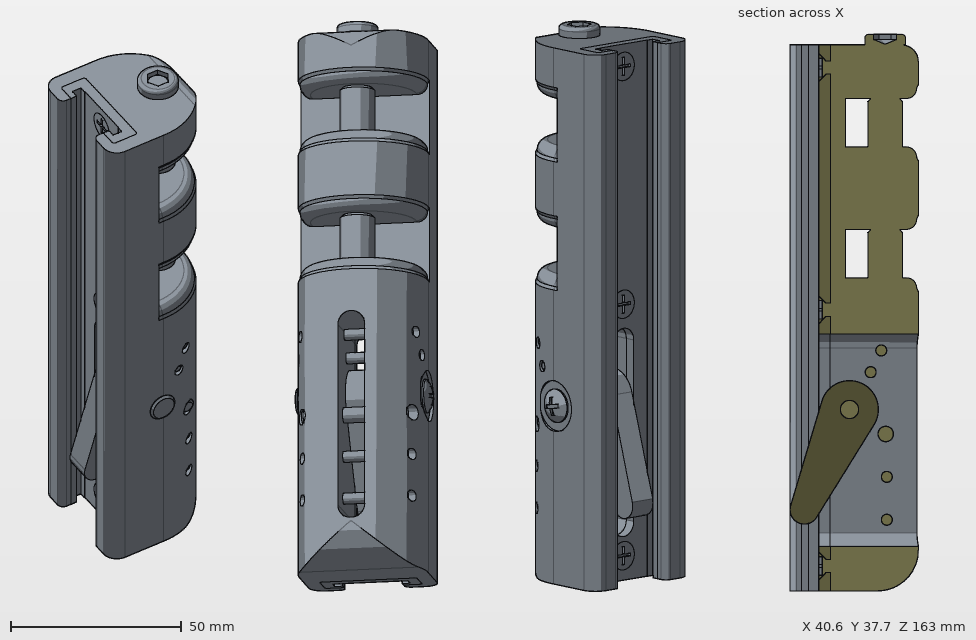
import cadquery as cq
import math

TOTAL_LENGTH = 163.0

HOUSING_LENGTH = 159.9
HOUSING_WIDTH = 38.3
HOUSING_DEPTH = 37.7
DOME_START_Y = 17.8
FRONT_CORNER_RADIUS = 4.5
LIP_CORNER_RADIUS = 2.0
TOP_BACK_RADIUS = 5.0
BOTTOM_BACK_RADIUS = 12.0
HALF_WIDTH = HOUSING_WIDTH / 2

RAIL_WIDTH = 29.0
RAIL_BACK_Y = 11.7
RAIL_FRONT_Y = 3.5
RAIL_WALL = 3.3
RAIL_LIP = 2.0
RAIL_CORNER_RADIUS = 0.8
MOUTH_WIDTH = 17.8
RAIL_FACE_Y = RAIL_BACK_Y - RAIL_WALL
RAIL_RELIEF_WIDTH = 18.6
RAIL_RELIEF_DEPTH = 0.2

NOTCH_FLOOR_Y = 16.3
NOTCH_HEIGHT = 14.0
NOTCH_BOTTOMS = (91.8, 130.0)
NOTCH_EDGE_RADIUS = 3.1
NOTCH_BEVEL_LENGTH = 1.0
NOTCH_BEVEL_STEP = 0.5

SLOT_WIDTH = 8.0
SLOT_BOTTOM = 13.0
SLOT_TOP = 75.1

BOLT_Y = 27.9
BOLT_HEAD_DIAMETER = 12.0
BOLT_HEAD_ROUND = 1.1
BOLT_SHAFT_DIAMETER = 10.3
BOLT_SHAFT_CHAMFER = 0.8
HEX_ACROSS_FLATS = 6.0
HEX_DEPTH = 1.6
HEX_CONE_DEPTH = 1.3

RAIL_SCREW_HEIGHTS = (7.3, 82.3, 153.2)
SCREW_HEAD_DIAMETER = 8.5
SCREW_SHANK_DIAMETER = 4.0
SCREW_HEAD_DEPTH = 2.1
SCREW_CROSS_LENGTH = 5.4
SCREW_CROSS_WIDTH = 0.8
CROSS_DEPTH = 1.0

PIVOT_Y = 17.5
PIVOT_Z = 53.1
PIVOT_SHAFT_DIAMETER = 5.5
SPOTFACE_DIAMETER = 15.0
SPOTFACE_DEPTH = 1.0
PIVOT_HEAD_DIAMETER = 10.0
PIVOT_HEAD_RISE = 1.5
PIVOT_DOME_HEIGHT = 2.0
PIVOT_CROSS_WIDTH = 1.1
PIVOT_CROSS_TURN = -10.0
PIVOT_END_DIAMETER = 8.5
PIVOT_END_RISE = 0.8
PIVOT_END_CHAMFER = 0.7

CROSS_PINS = (
    (26.7, 70.4, 3.3, 0),
    (23.6, 64.0, 3.3, 0),
    (28.0, 46.0, 4.5, 1.5),
    (28.4, 33.4, 3.3, 0),
    (28.4, 20.9, 3.3, 0),
)
PIN_RECESS = 0.2
PIN_CHAMFER = 0.7

LEVER_HUB_RADIUS = 8.5
LEVER_TOE_RADIUS = 4.2
LEVER_TOE_Z = 23.8

PICK_MARGIN = 0.2


def x_cylinder(y, z, diameter, x_start, x_end):
    """Cylinder along X between two X positions."""
    return (
        cq.Workplane("YZ", origin=(x_start, 0, 0))
        .center(y, z)
        .circle(diameter / 2)
        .extrude(x_end - x_start)
    )


def z_cylinder(y, diameter, z_start, z_end):
    """Cylinder along Z on the symmetry plane between two heights."""
    return (
        cq.Workplane("XY", origin=(0, y, z_start))
        .circle(diameter / 2)
        .extrude(z_end - z_start)
    )


def block(width, y_start, y_end, z_start=0, z_end=HOUSING_LENGTH):
    """Block centred in X between two Y and two Z positions."""
    return (
        cq.Workplane("XY")
        .box(width, y_end - y_start, z_end - z_start, centered=(True, False, False))
        .translate((0, y_start, z_start))
    )


def cross(length, width, depth):
    """Cross-shaped cutter centred on the origin, flat in XY."""
    arm = cq.Workplane("XY").box(length, width, depth)
    return arm.union(arm.rotate((0, 0, 0), (0, 0, 1), 90))


def dome_half_width(y):
    """Half width of the dome at a given Y."""
    rise = HOUSING_DEPTH - DOME_START_Y
    radius = (HALF_WIDTH**2 + rise**2) / (2 * rise)
    return math.sqrt(radius**2 - (y - HOUSING_DEPTH + radius) ** 2)


def outer_section(half_width=HALF_WIDTH, back_y=HOUSING_DEPTH):
    """D-shaped outer section of the housing."""
    return (
        cq.Workplane("XY")
        .moveTo(-half_width, 0)
        .lineTo(half_width, 0)
        .lineTo(half_width, DOME_START_Y)
        .threePointArc((0, back_y), (-half_width, DOME_START_Y))
        .close()
    )


def rail_envelope():
    """Outside of the rail, also the groove it fills in the housing."""
    depth = RAIL_BACK_Y - RAIL_FRONT_Y
    return (
        cq.Workplane("XY")
        .center(0, RAIL_FRONT_Y + depth / 2)
        .rect(RAIL_WIDTH, depth)
        .extrude(HOUSING_LENGTH)
        .edges("|Z")
        .fillet(RAIL_CORNER_RADIUS)
    )


def notch_end():
    """End of the dome below a notch, from Z = 0 up: a shallow bevel, then a rounded edge."""
    inner = outer_section(HALF_WIDTH - NOTCH_BEVEL_STEP, HOUSING_DEPTH - NOTCH_BEVEL_STEP)
    taper = math.degrees(math.atan2(NOTCH_BEVEL_STEP, NOTCH_BEVEL_LENGTH))
    bevel = outer_section().extrude(NOTCH_BEVEL_LENGTH, taper=taper)
    cap = inner.extrude(NOTCH_BEVEL_LENGTH + NOTCH_EDGE_RADIUS)
    cap = cap.faces(">Z").edges("not <Y").fillet(NOTCH_EDGE_RADIUS)
    return bevel.union(cap)


def dome_segment(z_start, z_end, notch_below, notch_above):
    """Length of dome behind the notch floor, with a shaped end wherever it faces a notch."""
    end_length = NOTCH_BEVEL_LENGTH + NOTCH_EDGE_RADIUS
    body_start = z_start + end_length if notch_below else z_start
    body_end = z_end - end_length if notch_above else z_end
    segment = outer_section().extrude(body_end - body_start).translate((0, 0, body_start))
    if notch_above:
        segment = segment.union(notch_end().translate((0, 0, body_end)))
    if notch_below:
        segment = segment.union(notch_end().mirror("XY").translate((0, 0, body_start)))
    return segment.intersect(block(2 * HOUSING_WIDTH, NOTCH_FLOOR_Y, HOUSING_DEPTH, z_start, z_end))


def rounded_back_profile():
    """Side profile that rounds the back of the housing at both ends."""
    return (
        cq.Workplane("YZ", origin=(-HOUSING_WIDTH, 0, 0))
        .rect(HOUSING_DEPTH, HOUSING_LENGTH, centered=False)
        .extrude(HOUSING_WIDTH * 2)
        .edges("|X and >Y and >Z")
        .fillet(TOP_BACK_RADIUS)
        .edges("|X and >Y and <Z")
        .fillet(BOTTOM_BACK_RADIUS)
    )


def lever_slot():
    """Round-ended slot cutter through the whole depth."""
    return (
        cq.Workplane("XZ")
        .center(0, (SLOT_BOTTOM + SLOT_TOP) / 2)
        .slot2D(SLOT_TOP - SLOT_BOTTOM, SLOT_WIDTH, 90)
        .extrude(-HOUSING_DEPTH)
    )


def housing_shell():
    """Domed body with its front groove, grip notches and lever slot."""
    low_notch, high_notch = NOTCH_BOTTOMS
    low_notch_top = low_notch + NOTCH_HEIGHT
    high_notch_top = high_notch + NOTCH_HEIGHT

    shell = outer_section().extrude(HOUSING_LENGTH)
    shell = shell.intersect(block(2 * HOUSING_WIDTH, 0, NOTCH_FLOOR_Y))
    shell = shell.edges("|Z and <Y").fillet(FRONT_CORNER_RADIUS)
    shell = shell.union(dome_segment(0, low_notch, False, True))
    shell = shell.union(dome_segment(low_notch_top, high_notch, True, True))
    shell = shell.union(dome_segment(high_notch_top, HOUSING_LENGTH, True, False))
    shell = shell.intersect(rounded_back_profile())

    shell = shell.cut(block(MOUTH_WIDTH, 0, RAIL_FRONT_Y))
    reach_x = MOUTH_WIDTH / 2 + PICK_MARGIN
    lip_corners = cq.selectors.BoxSelector(
        (-reach_x, -PICK_MARGIN, 0), (reach_x, PICK_MARGIN, HOUSING_LENGTH)
    )
    shell = shell.edges("|Z").edges(lip_corners).fillet(LIP_CORNER_RADIUS)
    return shell.cut(rail_envelope()).cut(lever_slot())


def bolt_head():
    """Round bolt head on the top end, with a rounded rim."""
    head = z_cylinder(BOLT_Y, BOLT_HEAD_DIAMETER, HOUSING_LENGTH, TOTAL_LENGTH)
    return head.faces(">Z").edges().fillet(BOLT_HEAD_ROUND)


def hex_socket():
    """Hexagon socket cutter with a corner on the Y axis, and its cone-shaped bottom."""
    floor_z = TOTAL_LENGTH - HEX_DEPTH
    prism = (
        cq.Workplane("XY", origin=(0, BOLT_Y, floor_z))
        .transformed(rotate=(0, 0, 90))
        .polygon(6, HEX_ACROSS_FLATS / math.cos(math.pi / 6))
        .extrude(HEX_DEPTH)
    )
    cone = cq.Solid.makeCone(
        HEX_ACROSS_FLATS / 2, 0, HEX_CONE_DEPTH, cq.Vector(0, BOLT_Y, floor_z), cq.Vector(0, 0, -1)
    )
    return prism.union(cq.Workplane(cone))


def bolt_shaft(notch_bottom):
    """Length of bolt shaft that crosses one notch, chamfered at its top."""
    shaft = z_cylinder(BOLT_Y, BOLT_SHAFT_DIAMETER, notch_bottom, notch_bottom + NOTCH_HEIGHT)
    return shaft.faces(">Z").chamfer(BOLT_SHAFT_CHAMFER)


def countersunk_screw(z):
    """Countersunk screw flush with the rail face, also the hole it fills in the rail."""
    head_radius = SCREW_HEAD_DIAMETER / 2
    shank_radius = SCREW_SHANK_DIAMETER / 2
    return (
        cq.Workplane("XY")
        .moveTo(0, RAIL_FACE_Y)
        .lineTo(head_radius, RAIL_FACE_Y)
        .lineTo(shank_radius, RAIL_FACE_Y + SCREW_HEAD_DEPTH)
        .lineTo(shank_radius, RAIL_BACK_Y)
        .lineTo(0, RAIL_BACK_Y)
        .close()
        .revolve(360, (0, 0, 0), (0, 1, 0))
        .translate((0, 0, z))
    )


def rail_screw(z):
    """Screw that holds the rail, with a cross recess in its head."""
    recess = (
        cross(SCREW_CROSS_LENGTH, SCREW_CROSS_WIDTH, CROSS_DEPTH * 2)
        .rotate((0, 0, 0), (1, 0, 0), 90)
        .translate((0, RAIL_FACE_Y, z))
    )
    return countersunk_screw(z).cut(recess)


def pivot_screw():
    """Domed screw through the housing that carries the lever."""
    head_top_x = -HALF_WIDTH - PIVOT_HEAD_RISE
    seat_x = -HALF_WIDTH + SPOTFACE_DEPTH
    head_radius = PIVOT_HEAD_DIAMETER / 2
    dome_radius = (head_radius**2 + PIVOT_DOME_HEIGHT**2) / (2 * PIVOT_DOME_HEIGHT)

    head = x_cylinder(PIVOT_Y, PIVOT_Z, PIVOT_HEAD_DIAMETER, head_top_x, seat_x)
    ball_centre = (head_top_x + dome_radius, PIVOT_Y, PIVOT_Z)
    ball = cq.Workplane("XY").sphere(dome_radius).translate(ball_centre)
    recess = (
        cross(SCREW_CROSS_LENGTH, PIVOT_CROSS_WIDTH, CROSS_DEPTH * 2)
        .rotate((0, 0, 0), (0, 0, 1), PIVOT_CROSS_TURN)
        .rotate((0, 0, 0), (0, 1, 0), 90)
        .translate((head_top_x, PIVOT_Y, PIVOT_Z))
    )
    head = head.intersect(ball).cut(recess)

    end_x = HALF_WIDTH + PIVOT_END_RISE
    shaft = x_cylinder(PIVOT_Y, PIVOT_Z, PIVOT_SHAFT_DIAMETER, seat_x, HALF_WIDTH)
    end = x_cylinder(PIVOT_Y, PIVOT_Z, PIVOT_END_DIAMETER, HALF_WIDTH - SPOTFACE_DEPTH, end_x)
    end = end.faces(">X").chamfer(PIVOT_END_CHAMFER)
    return head.union(shaft).union(end)


def add_cross_pin(body, y, z, diameter, rise):
    """Put a pin across the lever slot, sunk just under the dome unless its +X end rises."""
    end_x = dome_half_width(y + diameter / 2) - PIN_RECESS
    bore = x_cylinder(y, z, diameter, -HOUSING_WIDTH, HOUSING_WIDTH)
    pin = x_cylinder(y, z, diameter, -end_x, end_x + rise).faces("<X or >X").chamfer(PIN_CHAMFER)
    return body.cut(bore).union(pin)


def make_housing():
    """Housing together with the fasteners and pins fixed in it."""
    housing = housing_shell()
    for notch_bottom in NOTCH_BOTTOMS:
        housing = housing.union(bolt_shaft(notch_bottom))
    housing = housing.union(bolt_head()).cut(hex_socket())
    for y, z, diameter, rise in CROSS_PINS:
        housing = add_cross_pin(housing, y, z, diameter, rise)
    for z in RAIL_SCREW_HEIGHTS:
        housing = housing.union(rail_screw(z))
    spotface = x_cylinder(
        PIVOT_Y, PIVOT_Z, SPOTFACE_DIAMETER, -HOUSING_WIDTH, -HALF_WIDTH + SPOTFACE_DEPTH
    )
    return housing.cut(spotface).union(pivot_screw())


def make_rail():
    """C-shaped rail with countersunk screw holes and the lever slot."""
    cavity_front_y = RAIL_FRONT_Y + RAIL_LIP
    cavity_back_y = RAIL_FACE_Y - RAIL_RELIEF_DEPTH
    cavity = block(RAIL_WIDTH - 2 * RAIL_WALL, cavity_front_y, cavity_back_y)
    relief = block(RAIL_RELIEF_WIDTH, cavity_back_y, RAIL_FACE_Y)
    mouth = block(MOUTH_WIDTH, RAIL_FRONT_Y, cavity_front_y)
    rail = rail_envelope().cut(cavity).cut(relief).cut(mouth).cut(lever_slot())
    for z in RAIL_SCREW_HEIGHTS:
        rail = rail.cut(countersunk_screw(z))
    return rail


def make_lever():
    """Tapered lever: a hub on the pivot and a toe level with the open front."""
    toe_y = LEVER_TOE_RADIUS
    run_y = toe_y - PIVOT_Y
    run_z = LEVER_TOE_Z - PIVOT_Z
    run = math.hypot(run_y, run_z)
    direction = math.atan2(run_z, run_y)
    spread = math.acos((LEVER_HUB_RADIUS - LEVER_TOE_RADIUS) / run)

    def on_hub(angle):
        return (
            PIVOT_Y + LEVER_HUB_RADIUS * math.cos(angle),
            PIVOT_Z + LEVER_HUB_RADIUS * math.sin(angle),
        )

    def on_toe(angle):
        return (
            toe_y + LEVER_TOE_RADIUS * math.cos(angle),
            LEVER_TOE_Z + LEVER_TOE_RADIUS * math.sin(angle),
        )

    front = direction - spread
    back = direction + spread
    return (
        cq.Workplane("YZ", origin=(-SLOT_WIDTH / 2, 0, 0))
        .moveTo(*on_hub(front))
        .lineTo(*on_toe(front))
        .threePointArc(on_toe(direction), on_toe(back))
        .lineTo(*on_hub(back))
        .threePointArc(on_hub(direction + math.pi), on_hub(front))
        .close()
        .extrude(SLOT_WIDTH)
        .cut(x_cylinder(PIVOT_Y, PIVOT_Z, PIVOT_SHAFT_DIAMETER, -SLOT_WIDTH, SLOT_WIDTH))
    )


housing = make_housing()
rail = make_rail()
lever = make_lever()

result = cq.Compound.makeCompound(
    [housing.solids().val(), rail.solids().val(), lever.solids().val()]
)